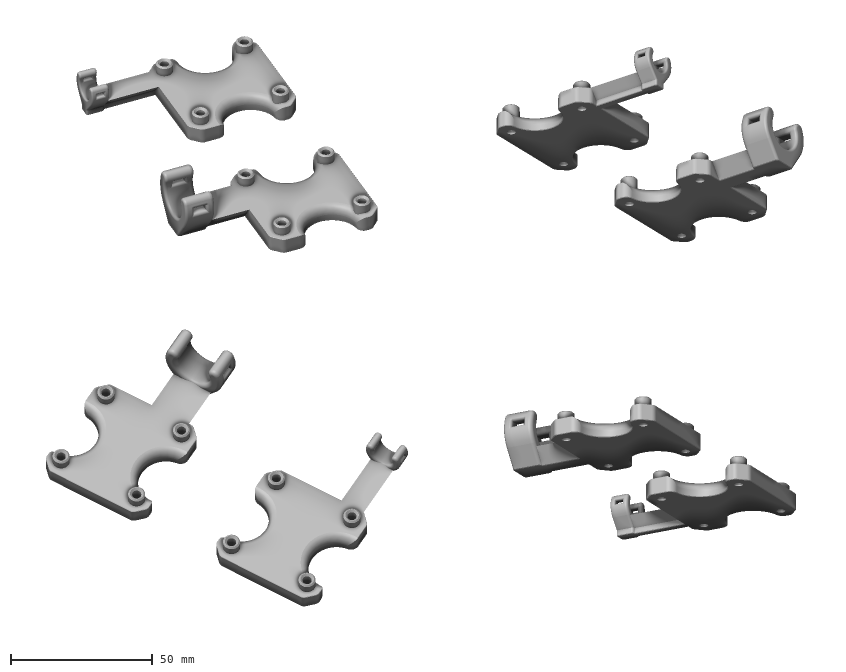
import cadquery as cq
import math

plate_size = 42.0
plate_thickness = 6.0
corner_chamfer = 3.9
corner_radius = 2.4
top_edge_chamfer = 0.17
bottom_edge_chamfer = 0.2
plate_spacing = 70.0
flank_x = plate_size / 2
front_y = -plate_size / 2

post_pitch = 31.0
post_diameter = 6.0
post_height = 3.8
post_chamfer = 0.6
hole_diameter = 3.2
hole_mouth_diameter = 4.7
post_top = plate_thickness + post_height

scallop_radius = 10.0
scallop_inset = 1.3
scallop_x = flank_x - scallop_inset
scallop_y = 2.1
scallop_corner_radius = 3.0
lip_width = 2.7
lip_depth = 3.4
cut_margin = 5.6

tip_angle = math.radians(23.5)
arm_overlap = 2.2


def plate_blank():
    """Square plate with chamfered corners, rounded chamfer joints and a broken top edge."""
    blank = cq.Workplane("XY").rect(plate_size, plate_size).extrude(plate_thickness)
    blank = blank.edges("|Z").chamfer(corner_chamfer)
    blank = blank.edges("|Z").fillet(corner_radius)
    return blank.faces(">Z").edges().chamfer(top_edge_chamfer)


def scallop_cutter():
    """Scallop of the right flank: a circle that meets the flank in two rounded corners."""
    centre_distance = scallop_radius + scallop_corner_radius
    corner_dx = scallop_inset - scallop_corner_radius
    corner_dy = math.sqrt(centre_distance**2 - corner_dx**2)
    touch_dx = corner_dx * scallop_radius / centre_distance
    touch_dy = corner_dy * scallop_radius / centre_distance
    bend_angle = math.atan2(corner_dy, -corner_dx) / 2
    bend_dx = corner_dx + scallop_corner_radius * math.cos(bend_angle)
    bend_dy = corner_dy - scallop_corner_radius * math.sin(bend_angle)
    return (
        cq.Workplane("XY", origin=(scallop_x, scallop_y, 0))
        .moveTo(scallop_inset + cut_margin, -corner_dy)
        .lineTo(scallop_inset, -corner_dy)
        .threePointArc((bend_dx, -bend_dy), (touch_dx, -touch_dy))
        .threePointArc((-scallop_radius, 0), (touch_dx, touch_dy))
        .threePointArc((bend_dx, bend_dy), (scallop_inset, corner_dy))
        .lineTo(scallop_inset + cut_margin, corner_dy)
        .close()
        .extrude(plate_thickness)
    )


def lip_profile(plane):
    """Half section of the lip cutter: a funnel with a rounded flank above the scallop wall."""
    lip_radius = (lip_width**2 + lip_depth**2) / (2 * lip_width)
    lip_z = plate_thickness - lip_depth
    half_turn = math.asin(lip_depth / lip_radius) / 2
    middle = (
        scallop_radius + lip_radius * (1 - math.cos(half_turn)),
        lip_z + lip_radius * math.sin(half_turn),
    )
    return (
        cq.Workplane(plane)
        .moveTo(0, lip_z)
        .lineTo(scallop_radius, lip_z)
        .threePointArc(middle, (scallop_radius + lip_width, plate_thickness))
        .lineTo(0, plate_thickness)
        .close()
    )


def lip_cutter():
    """Lip of the right scallop: turned around the scallop, then straight out to the flank."""
    turned = lip_profile("XZ").revolve(360, (0, 0), (0, 1))
    straight_half = lip_profile("YZ").extrude(scallop_inset + cut_margin)
    straight = straight_half.union(straight_half.mirror("XZ"))
    return turned.union(straight).translate((scallop_x, scallop_y, 0))


def plate():
    body = plate_blank()
    for cutter in (scallop_cutter(), lip_cutter()):
        body = body.cut(cutter).cut(cutter.mirror("YZ"))
    return body


def at_posts(plane_z):
    """Workplane with a point at each post."""
    return (
        cq.Workplane("XY", origin=(0, 0, plane_z))
        .rect(post_pitch, post_pitch, forConstruction=True)
        .vertices()
    )


def posts():
    tubes = at_posts(plate_thickness - lip_depth).circle(post_diameter / 2)
    return tubes.extrude(post_height + lip_depth).faces(">Z").edges().chamfer(post_chamfer)


def post_holes():
    """Through holes with a conical mouth at the top of each post."""
    mouth_depth = (hole_mouth_diameter - hole_diameter) / 2
    holes = at_posts(0).circle(hole_diameter / 2).extrude(post_top)
    mouths = at_posts(post_top).circle(hole_mouth_diameter / 2).extrude(-mouth_depth, taper=45)
    return holes.union(mouths)


def mirrored(point):
    return (-point[0], point[1])


def foot_side(half_width, height):
    """Upright right side of a foot, bottom to top; a foot without height is a single point."""
    if height == 0:
        return [(half_width, 0)]
    return [(half_width, 0), (half_width, height)]


def foot_touch_angle(outer_radius, centre_z, foot_half, foot_height):
    """Angle, seen from the bore centre, where a line from the foot's edge touches the ring."""
    rise = centre_z - foot_height
    return math.atan2(-rise, foot_half) + math.acos(outer_radius / math.hypot(foot_half, rise))


def slot_cutter(bore_radius, outer_radius, centre_z, length, slot_width, slot_height, slot_z, rounding):
    """Slot through both ring walls with rounded mouths: what a plain ring loses to the slot."""
    ring = (
        cq.Workplane("XZ")
        .circle(outer_radius)
        .circle(bore_radius)
        .extrude(length)
        .rotate((0, 0, 0), (0, 1, 0), 90)
        .translate((0, 0, centre_z))
    )
    slot = cq.Workplane("XY").box(3 * outer_radius, slot_width, slot_height)
    inside_walls = cq.selectors.BoxSelector(
        (-2 * outer_radius, -0.9 * length, 0), (2 * outer_radius, -0.1 * length, 2 * centre_z)
    )
    slotted = ring.cut(slot.translate((0, -length / 2, slot_z)))
    mouths = slotted.edges(inside_walls).edges("not |X")
    return ring.cut(mouths.fillet(rounding))


def clip_outline(bore_radius, outer_radius, centre_z, touch_angle, foot_half, foot_height):
    """Open ring with round tips on a foot whose sloping sides run tangent into the ring."""
    def at(radius, angle):
        return (radius * math.cos(angle), centre_z + radius * math.sin(angle))

    touch = at(outer_radius, touch_angle)
    flank = at(outer_radius, (touch_angle + tip_angle) / 2)
    tip_outside = at(outer_radius, tip_angle)
    tip_inside = at(bore_radius, tip_angle)
    tip_x, tip_z = at((bore_radius + outer_radius) / 2, tip_angle)
    tip_radius = (outer_radius - bore_radius) / 2
    tip_end = (tip_x - tip_radius * math.sin(tip_angle), tip_z + tip_radius * math.cos(tip_angle))
    right_foot = foot_side(foot_half, foot_height)
    left_foot = [mirrored(point) for point in right_foot]
    return (
        cq.Workplane("XZ")
        .polyline(left_foot[::-1] + right_foot + [touch])
        .threePointArc(flank, tip_outside)
        .threePointArc(tip_end, tip_inside)
        .threePointArc((0, centre_z - bore_radius), mirrored(tip_inside))
        .threePointArc(mirrored(tip_end), mirrored(tip_outside))
        .threePointArc(mirrored(flank), mirrored(touch))
        .close()
    )


def holder(
    clip_x,
    clip_front_y,
    clip_length,
    bore_radius,
    outer_radius,
    centre_z,
    foot_half,
    foot_height,
    front_rounding,
    back_rounding,
    slot_width,
    slot_height,
    slot_z,
):
    """One body: plate with posts, an arm and a clip at the end of the arm."""
    touch_angle = foot_touch_angle(outer_radius, centre_z, foot_half, foot_height)
    clip_back_y = clip_front_y + clip_length

    outline = clip_outline(bore_radius, outer_radius, centre_z, touch_angle, foot_half, foot_height)
    clip = outline.extrude(clip_length)
    clip = clip.faces("<Y").edges("not <Z").fillet(front_rounding)
    clip = clip.faces(">Y").edges("not <Z").fillet(back_rounding)
    clip = clip.cut(
        slot_cutter(
            bore_radius,
            outer_radius,
            centre_z,
            clip_length,
            slot_width,
            slot_height,
            slot_z,
            front_rounding,
        )
    )
    clip = clip.translate((clip_x, clip_back_y, 0))

    slope = math.pi / 2 + touch_angle
    arm_foot_half = foot_half - front_rounding / math.sin(slope)
    arm_top_half = arm_foot_half + (plate_thickness - foot_height) / math.tan(slope)
    right_side = foot_side(arm_foot_half, foot_height) + [(arm_top_half, plate_thickness)]
    left_side = [mirrored(point) for point in right_side]
    arm_back_y = front_y + arm_overlap
    arm_length = arm_back_y - clip_back_y + back_rounding
    arm = cq.Workplane("XZ").polyline(left_side[::-1] + right_side).close().extrude(arm_length)
    arm = arm.translate((clip_x, arm_back_y, 0))

    body = plate().union(arm).union(clip)
    body = body.faces("<Z").edges().chamfer(bottom_edge_chamfer)
    return body.union(posts()).cut(post_holes())


small_holder = holder(
    clip_x=-12.7,
    clip_front_y=-47.9,
    clip_length=7.0,
    bore_radius=4.1,
    outer_radius=7.0,
    centre_z=10.3,
    foot_half=2.4,
    foot_height=2.1,
    front_rounding=0.7,
    back_rounding=1.0,
    slot_width=3.0,
    slot_height=1.2,
    slot_z=11.0,
)

large_holder = holder(
    clip_x=-7.7,
    clip_front_y=-47.4,
    clip_length=11.4,
    bore_radius=7.0,
    outer_radius=11.5,
    centre_z=13.4,
    foot_half=4.6,
    foot_height=0,
    front_rounding=1.0,
    back_rounding=1.5,
    slot_width=4.8,
    slot_height=2.0,
    slot_z=14.8,
).translate((plate_spacing, 0, 0))

result = cq.Compound.makeCompound([small_holder.val(), large_holder.val()])